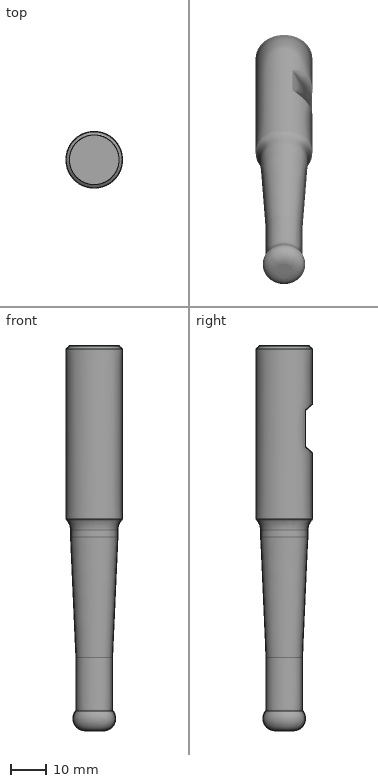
import cadquery as cq
import math

TOTAL_LENGTH = 109.0

SHANK_RADIUS = 16.0 / 2
SHANK_BOTTOM_Z = 60.0
SHANK_CHAMFER = 1.0
SHANK_BOTTOM_CHAMFER = 0.3

FLAT_DEPTH = 2.0
FLAT_FLOOR_LENGTH = 10.4
FLAT_END_RUN = 1.7
FLAT_CENTER_Z = 85.6
FLAT_OVERSHOOT = 1.1

COLLAR_RADIUS = 13.4 / 2
COLLAR_TOP_Z = 56.9
COLLAR_BOTTOM_Z = 54.9
BLEND_TOP_RADIUS = SHANK_RADIUS - SHANK_BOTTOM_CHAMFER
BLEND_TOP_Z = SHANK_BOTTOM_Z - SHANK_BOTTOM_CHAMFER
NECK_RADIUS = 10.4 / 2
TAPER_BOTTOM_Z = 20.8

HEAD_RADIUS = 12.1 / 2
HEAD_EDGE_RADIUS = 3.5
HEAD_HEIGHT = 5.6


def blend_midpoint():
    """Point halfway along the concave arc that leaves the collar tangentially and meets the shank chamfer."""
    height = BLEND_TOP_Z - COLLAR_TOP_Z
    step = BLEND_TOP_RADIUS - COLLAR_RADIUS
    blend_radius = (height**2 + step**2) / (2 * step)
    half_angle = math.asin(height / blend_radius) / 2
    return (
        COLLAR_RADIUS + blend_radius * (1 - math.cos(half_angle)),
        COLLAR_TOP_Z + blend_radius * math.sin(half_angle),
    )


def clamping_flat():
    """Cutter for the flat: a trapezoid in the YZ plane, widening outward, across the full shank."""
    floor_y = SHANK_RADIUS - FLAT_DEPTH
    outer_y = SHANK_RADIUS + FLAT_OVERSHOOT
    floor_half = FLAT_FLOOR_LENGTH / 2
    outer_half = floor_half + FLAT_END_RUN * (outer_y - floor_y) / FLAT_DEPTH
    return (
        cq.Workplane("YZ")
        .polyline([
            (floor_y, FLAT_CENTER_Z - floor_half),
            (outer_y, FLAT_CENTER_Z - outer_half),
            (outer_y, FLAT_CENTER_Z + outer_half),
            (floor_y, FLAT_CENTER_Z + floor_half),
        ])
        .close()
        .extrude(SHANK_RADIUS, both=True)
    )


def make_holder():
    """Shank, collar and tapered neck, ending on the top face of the head."""
    turned = (
        cq.Workplane("XZ")
        .moveTo(0, HEAD_HEIGHT)
        .lineTo(NECK_RADIUS, HEAD_HEIGHT)
        .lineTo(NECK_RADIUS, TAPER_BOTTOM_Z)
        .lineTo(COLLAR_RADIUS, COLLAR_BOTTOM_Z)
        .lineTo(COLLAR_RADIUS, COLLAR_TOP_Z)
        .threePointArc(blend_midpoint(), (BLEND_TOP_RADIUS, BLEND_TOP_Z))
        .lineTo(SHANK_RADIUS, SHANK_BOTTOM_Z)
        .lineTo(SHANK_RADIUS, TOTAL_LENGTH - SHANK_CHAMFER)
        .lineTo(SHANK_RADIUS - SHANK_CHAMFER, TOTAL_LENGTH)
        .lineTo(0, TOTAL_LENGTH)
        .close()
        .revolve(360, (0, 0, 0), (0, 1, 0))
    )
    return turned.cut(clamping_flat())


def make_head():
    """Round head with one convex edge arc between its flat bottom and flat top."""
    arc_center_radius = HEAD_RADIUS - HEAD_EDGE_RADIUS
    rise = HEAD_HEIGHT - HEAD_EDGE_RADIUS
    top_radius = arc_center_radius + math.sqrt(HEAD_EDGE_RADIUS**2 - rise**2)
    return (
        cq.Workplane("XZ")
        .lineTo(arc_center_radius, 0)
        .threePointArc((HEAD_RADIUS, HEAD_EDGE_RADIUS), (top_radius, HEAD_HEIGHT))
        .lineTo(0, HEAD_HEIGHT)
        .close()
        .revolve(360, (0, 0, 0), (0, 1, 0))
    )


holder = make_holder()
head = make_head()
result = cq.Compound.makeCompound([holder.val(), head.val()])